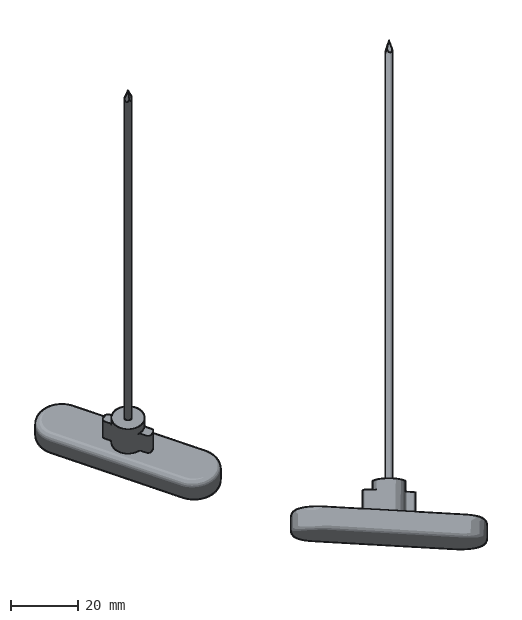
import cadquery as cq

handle_length = 60.0
handle_width = 16.0
handle_height = 8.0
handle_edge_radius = 2.0

hub_diameter = 10.0
hub_height = 10.1
wing_span = 16.0
wing_width = 3.4
wing_height = 7.0
wing_corner_radius = 1.0
wing_root_radius = 0.8

overall_height = 153
needle_diameter = 2.3
tip_length = 4.0

hub_top = handle_height + hub_height
tip_base = overall_height - tip_length


def make_handle():
    bar = cq.Workplane("XY").slot2D(handle_length, handle_width).extrude(handle_height)
    return bar.faces("<Z or >Z").edges().fillet(handle_edge_radius)


def make_hub():
    seat = cq.Workplane("XY").workplane(offset=handle_height)
    wings = seat.rect(wing_span, wing_width).extrude(wing_height)
    wings = wings.edges("|Z").fillet(wing_corner_radius)
    core = seat.circle(hub_diameter / 2).extrude(wing_height)
    winged_core = core.union(wings)
    root_box = cq.selectors.BoxSelector(
        (-hub_diameter / 2, -hub_diameter / 2, handle_height),
        (hub_diameter / 2, hub_diameter / 2, hub_top),
    )
    winged_core = winged_core.edges("|Z").edges(root_box).fillet(wing_root_radius)
    return winged_core.union(seat.circle(hub_diameter / 2).extrude(hub_height))


def make_needle():
    shaft_length = overall_height - handle_height
    seat = cq.Workplane("XY").workplane(offset=handle_height)
    shaft = seat.circle(needle_diameter / 2).extrude(shaft_length)
    taper = (
        cq.Workplane("XZ")
        .polyline(
            [
                (-needle_diameter / 2, handle_height),
                (needle_diameter / 2, handle_height),
                (needle_diameter / 2, tip_base),
                (0, overall_height),
                (-needle_diameter / 2, tip_base),
            ]
        )
        .close()
        .extrude(needle_diameter / 2, both=True)
    )
    taper_across = taper.rotate((0, 0, 0), (0, 0, 1), 90)
    return shaft.intersect(taper).intersect(taper_across)


result = make_handle().union(make_hub()).union(make_needle())